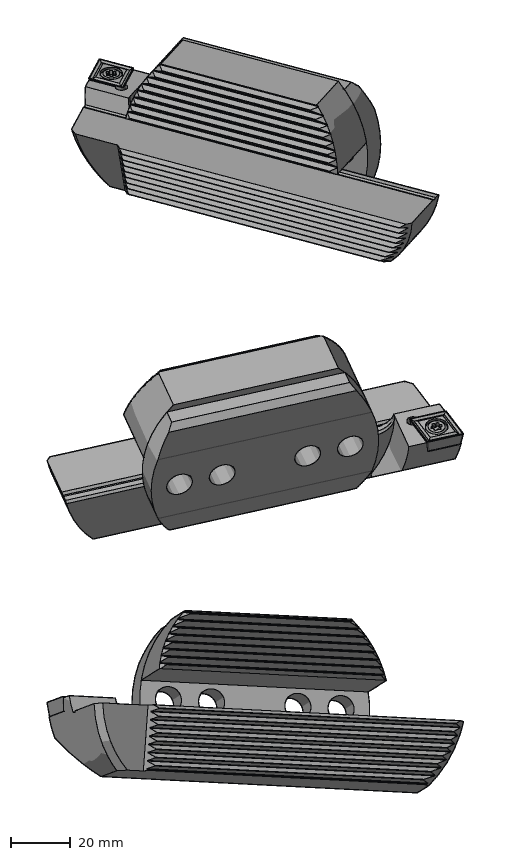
import cadquery as cq
import math


ROUND_RADIUS = 40.0
OVERALL_HEIGHT = 55.0
HALF_HEIGHT = OVERALL_HEIGHT / 2
HALF_GAP = 6.2
HOLE_DIAMETER = 9.0
OUTER_HOLE_SPACING = 60.0
HOLE_PITCH = OUTER_HOLE_SPACING / 4
PLATE_THICKNESS = 9.8
PLATE_HALF_HEIGHT = 24.9
PLATE_RIM_WIDTH = 5.1
PLATE_SLOPE_START_Y = 7.3
PLATE_SLOPE_START_Z = 22.6
PLATE_BACK_HALF_HEIGHT = 13.6

FACE_TILT = math.radians(15)
TOOTH_COUNT = 8
TOOTH_ANGLE = math.radians(60)
TOOTH_HEIGHT = 2.0
TIP_Y = -23.5
TOOTH_STEP_Z = (HALF_HEIGHT - HALF_GAP) / TOOTH_COUNT
FIRST_TIP_Z = HALF_GAP + TOOTH_STEP_Z / 2
JAW_END_CHAMFER = 1.9

HOLDER_RIGHT = 67.2
HOLDER_LEFT = -67.8
RIGHT_END_CHAMFER = 3.0
LEFT_END_CHAMFER = 2.0
RELIEF_Y = -20.9
RELIEF_END_X = -43.0
GROOVE_FRONT_Y = -4.8
GROOVE_BOTTOM_Y = -3.8
GROOVE_BOTTOM_Z = -6.7
LEDGE_FRONT_Y = -2.8
LEDGE_DROP = 0.2
LEDGE_Z = -HALF_GAP - LEDGE_DROP
LEDGE_CHAMFER = 0.8

HEAD_TOP = -0.47
HEAD_FRONT_Y = -1.1
HEAD_BACK_Y = 15.5
HEAD_CHAMFER_Y = 14.0
HEAD_CHAMFER_Z = -12.4
HEAD_RIGHT = -40.4
HEAD_TOP_RIGHT = -48.7
HEAD_CLEARANCE_RADIUS = 41.3
HEAD_FILLET = HEAD_TOP - LEDGE_Z

INSERT_CORNER_X = -68.0
INSERT_CORNER_Y = 15.9
INSERT_SIDE = 12.9
INSERT_LEAD = math.radians(10)
INSERT_THICKNESS = 5.0
INSERT_RELIEF_DEGREES = 7
INSERT_NOSE_RADIUS = 0.4
POCKET_OVERRUN = 2.0
LAND_WIDTH = 0.3
GROOVE_OFFSET = 1.15
PLATEAU_OFFSET = 2.0
CHIP_GROOVE_DEPTH = 0.47
CORNER_RELIEF_RADIUS = 2.0
CORNER_RELIEF_X = -53.8
CORNER_RELIEF_Y = 4.0
SCREW_HEAD_DIAMETER = 7.5
SCREW_HEAD_HEIGHT = 2.7
SCREW_HEAD_CHAMFER = 1.0
SHANK_DIAMETER = 5.0
SCREW_LENGTH = 11.5
STAR_RADIUS = 1.3
STAR_LOBE_RADIUS = 0.5
STAR_LOBES = 6
STAR_DEPTH = 1.6

CUT = 80.7


def tip_plane_y(z):
    """Y of the plane through the tooth tips at a distance z from the middle."""
    return TIP_Y + (z - FIRST_TIP_Z) * math.tan(FACE_TILT)


def along_x(points, x_start, x_end):
    """Prism along X with an outline of (y, z) points."""
    return cq.Workplane("YZ").workplane(offset=x_start).polyline(points).close().extrude(x_end - x_start)


def cylinder_along_y(radius, y_start, y_end):
    return cq.Workplane("XZ", origin=(0, y_start, 0)).circle(radius).extrude(y_start - y_end)


def serration_cutter():
    """V-shaped grooves, with flat bottoms, that leave the teeth of the upper jaw."""
    pitch = TOOTH_STEP_Z / math.cos(FACE_TILT)
    flank = TOOTH_HEIGHT * math.tan(TOOTH_ANGLE / 2)
    flat = pitch / 2 - flank
    half_mouth = (pitch - flat) / 2
    half_bottom = half_mouth - flank
    face = cq.Plane(
        origin=(-CUT, TIP_Y, FIRST_TIP_Z),
        xDir=(0, math.sin(FACE_TILT), math.cos(FACE_TILT)),
        normal=(1, 0, 0),
    )
    cutter = cq.Workplane(face)
    for i in range(TOOTH_COUNT + 1):
        middle = (i - 0.5) * pitch
        cutter = cutter.polyline(
            [
                (middle - half_mouth, 0),
                (middle + half_mouth, 0),
                (middle + half_bottom, -TOOTH_HEIGHT),
                (middle - half_bottom, -TOOTH_HEIGHT),
            ]
        ).close()
    return cutter.extrude(2 * CUT)


def make_plate():
    half_outline = [
        (0, PLATE_HALF_HEIGHT),
        (PLATE_RIM_WIDTH, PLATE_HALF_HEIGHT),
        (PLATE_SLOPE_START_Y, PLATE_SLOPE_START_Z),
        (PLATE_THICKNESS, PLATE_BACK_HALF_HEIGHT),
    ]
    outline = half_outline + [(y, -z) for y, z in reversed(half_outline)]
    plate = along_x(outline, -CUT, CUT).intersect(cylinder_along_y(ROUND_RADIUS, 0, PLATE_THICKNESS))
    holes = (
        cq.Workplane("XZ")
        .pushPoints([(i * HOLE_PITCH, 0) for i in (-2, -1, 1, 2)])
        .circle(HOLE_DIAMETER / 2)
        .extrude(-PLATE_THICKNESS)
    )
    return plate.cut(holes)


def make_jaw():
    outline = [
        (0, HALF_GAP),
        (tip_plane_y(HALF_GAP), HALF_GAP),
        (tip_plane_y(HALF_HEIGHT), HALF_HEIGHT),
        (0, HALF_HEIGHT),
    ]
    jaw = along_x(outline, -CUT, CUT).intersect(cylinder_along_y(ROUND_RADIUS, -CUT, 0))
    middle_z = (HALF_GAP + HALF_HEIGHT) / 2
    edge_x = math.sqrt(ROUND_RADIUS**2 - middle_z**2)
    for side in (-1, 1):
        end_edge = cq.selectors.NearestToPointSelector((side * edge_x, tip_plane_y(middle_z), middle_z))
        jaw = jaw.edges(end_edge).chamfer(JAW_END_CHAMFER)
    return jaw.cut(serration_cutter())


def oblique_prism(outline, direction):
    """Prism whose outline moves along a direction that need not be square to it."""
    return cq.Workplane(cq.Solid.extrudeLinear(outline.val(), [], cq.Vector(*direction)))


def rounded_end(end_x, side, y, direction):
    """Space bounded by an arc in XZ at one end; side is -1 for the left end, 1 for the right."""
    centre_x = end_x - side * ROUND_RADIUS
    far_x = centre_x - side * 2 * CUT
    outline = (
        cq.Workplane("XZ", origin=(0, y, 0))
        .moveTo(centre_x, -ROUND_RADIUS)
        .threePointArc((end_x, 0), (centre_x, ROUND_RADIUS))
        .lineTo(far_x, ROUND_RADIUS)
        .lineTo(far_x, -ROUND_RADIUS)
        .close()
    )
    return oblique_prism(outline, direction)


def holder_bar():
    bottom_back_y = HEAD_CHAMFER_Y - HEAD_CHAMFER_Z - HALF_HEIGHT
    return along_x(
        [
            (tip_plane_y(HALF_HEIGHT), -HALF_HEIGHT),
            (tip_plane_y(HALF_GAP), -HALF_GAP),
            (GROOVE_FRONT_Y, -HALF_GAP),
            (GROOVE_BOTTOM_Y, GROOVE_BOTTOM_Z),
            (LEDGE_FRONT_Y, LEDGE_Z),
            (-LEDGE_CHAMFER, LEDGE_Z),
            (0, LEDGE_Z - LEDGE_CHAMFER),
            (0, HEAD_CHAMFER_Z - HEAD_CHAMFER_Y),
            (bottom_back_y, -HALF_HEIGHT),
        ],
        -CUT,
        CUT,
    )


def fillet_outline(y, floor_z):
    """Open space between the head and the ledge in a plane at y; its round corner ends at floor_z."""
    round_end_x = HEAD_TOP_RIGHT + HEAD_FILLET
    middle_x = round_end_x - HEAD_FILLET * math.sqrt(0.5)
    middle_z = HEAD_TOP - (HEAD_TOP - floor_z) * math.sqrt(0.5)
    return (
        cq.Workplane("XZ", origin=(0, y, 0))
        .moveTo(HEAD_TOP_RIGHT, HEAD_TOP)
        .threePointArc((middle_x, middle_z), (round_end_x, floor_z))
        .lineTo(HEAD_RIGHT, floor_z)
        .lineTo(HEAD_RIGHT, HEAD_TOP)
        .close()
    )


def holder_head():
    head = along_x(
        [
            (HEAD_FRONT_Y, HEAD_TOP),
            (LEDGE_FRONT_Y, LEDGE_Z),
            (LEDGE_FRONT_Y, HEAD_CHAMFER_Z),
            (0, HEAD_CHAMFER_Z - HEAD_CHAMFER_Y),
            (HEAD_CHAMFER_Y, HEAD_CHAMFER_Z),
            (HEAD_BACK_Y, HEAD_TOP),
        ],
        -CUT,
        HEAD_RIGHT,
    )
    fillet_cut = fillet_outline(LEDGE_FRONT_Y, LEDGE_Z).extrude(LEDGE_FRONT_Y)
    edge_outlines = [
        fillet_outline(-LEDGE_CHAMFER, LEDGE_Z).val(),
        fillet_outline(0, LEDGE_Z - LEDGE_CHAMFER).val(),
    ]
    edge_cut = cq.Workplane(cq.Solid.makeLoft(edge_outlines, True))
    clearance = cylinder_along_y(HEAD_CLEARANCE_RADIUS, 0, CUT)
    clearance = clearance.translate((HEAD_TOP_RIGHT + HEAD_CLEARANCE_RADIUS, 0, 0))
    return head.cut(fillet_cut).cut(edge_cut).cut(clearance)


def front_relief():
    """Step that keeps the teeth clear of the left end, sloping like the serrated face."""
    outline = (
        cq.Workplane("XY", origin=(0, 0, -HALF_GAP))
        .moveTo(-CUT, RELIEF_Y)
        .lineTo(RELIEF_END_X, RELIEF_Y)
        .lineTo(RELIEF_END_X + CUT, RELIEF_Y - CUT)
        .lineTo(-CUT, RELIEF_Y - CUT)
        .close()
    )
    return oblique_prism(outline, (0, CUT * math.tan(FACE_TILT), -CUT))


def chamfer_end(holder, edge_x, edge_y, z, size):
    edge = cq.selectors.NearestToPointSelector((edge_x, edge_y, z))
    return holder.edges(edge).chamfer(size)


def make_holder():
    holder = holder_bar().union(holder_head())
    lead_shift = 2 * CUT * math.tan(INSERT_LEAD)
    holder = holder.intersect(rounded_end(HOLDER_LEFT, -1, INSERT_CORNER_Y, (lead_shift, -2 * CUT, 0)))
    holder = holder.intersect(rounded_end(HOLDER_RIGHT, 1, CUT, (0, -2 * CUT, 0)))
    holder = holder.cut(front_relief())

    middle_z = (HALF_GAP + HALF_HEIGHT) / 2
    end_setback = ROUND_RADIUS - math.sqrt(ROUND_RADIUS**2 - middle_z**2)
    relief_y = RELIEF_Y + (middle_z - HALF_GAP) * math.tan(FACE_TILT)
    left_x = HOLDER_LEFT + end_setback + (INSERT_CORNER_Y - relief_y) * math.tan(INSERT_LEAD)
    right_x = HOLDER_RIGHT - end_setback
    holder = chamfer_end(holder, right_x, tip_plane_y(middle_z), -middle_z, RIGHT_END_CHAMFER)
    holder = chamfer_end(holder, left_x, relief_y, -middle_z, LEFT_END_CHAMFER)
    holder = holder.cut(serration_cutter().mirror("XY"))

    corner_relief = (
        cq.Workplane("XY", origin=(CORNER_RELIEF_X, CORNER_RELIEF_Y, -INSERT_THICKNESS))
        .circle(CORNER_RELIEF_RADIUS)
        .extrude(INSERT_THICKNESS)
    )
    return holder.cut(corner_relief).cut(insert_pocket()).cut(screw_blank())


def insert_centre():
    half_width = INSERT_SIDE * (1 + math.sin(INSERT_LEAD)) / 2
    half_depth = INSERT_SIDE * math.cos(INSERT_LEAD) / 2
    return INSERT_CORNER_X + half_width, INSERT_CORNER_Y - half_depth


def insert_outline(offset, z):
    """Rhombus of the insert, moved inward by an offset, at a height z."""
    side = INSERT_SIDE - 2 * offset / math.cos(INSERT_LEAD)
    half_depth = side * math.cos(INSERT_LEAD) / 2
    lean = side * math.sin(INSERT_LEAD) / 2
    centre_x, centre_y = insert_centre()
    return (
        cq.Workplane("XY", origin=(centre_x, centre_y, z))
        .polyline(
            [
                (-side / 2 - lean, half_depth),
                (side / 2 - lean, half_depth),
                (side / 2 + lean, -half_depth),
                (-side / 2 + lean, -half_depth),
            ]
        )
        .close()
    )


def insert_frustum(top_offset, bottom_offset, depth):
    top = insert_outline(top_offset, 0).val()
    bottom = insert_outline(bottom_offset, -depth).val()
    return cq.Workplane(cq.Solid.makeLoft([top, bottom], True))


def insert_blank():
    bottom_offset = INSERT_THICKNESS * math.tan(math.radians(INSERT_RELIEF_DEGREES))
    blank = insert_frustum(0, bottom_offset, INSERT_THICKNESS)
    return blank.edges("not(#Z)").fillet(INSERT_NOSE_RADIUS)


def insert_pocket():
    """Room for the insert, open at the two sides where it overhangs the head."""
    pocket = insert_blank()
    back_shift = (-POCKET_OVERRUN * math.sin(INSERT_LEAD), POCKET_OVERRUN * math.cos(INSERT_LEAD), 0)
    for shift in ((-POCKET_OVERRUN, 0, 0), back_shift):
        pocket = pocket.union(insert_blank().translate(shift))
    return pocket


def make_insert():
    chip_groove = insert_frustum(LAND_WIDTH, GROOVE_OFFSET, CHIP_GROOVE_DEPTH)
    plateau = insert_frustum(PLATEAU_OFFSET, GROOVE_OFFSET, CHIP_GROOVE_DEPTH)
    return insert_blank().cut(chip_groove.cut(plateau)).cut(screw_blank())


def screw_blank():
    """Plain screw, which is also the shape of the hole it fills."""
    top = cq.Workplane("XY", origin=(*insert_centre(), 0))
    head = top.circle(SCREW_HEAD_DIAMETER / 2).extrude(-SCREW_HEAD_HEIGHT)
    shank = top.circle(SHANK_DIAMETER / 2).extrude(-SCREW_LENGTH)
    return head.union(shank)


def make_screw():
    screw = screw_blank().faces(">Z").edges().chamfer(SCREW_HEAD_CHAMFER)
    top = cq.Workplane("XY", origin=(*insert_centre(), 0))
    star = top.circle(STAR_RADIUS).extrude(-STAR_DEPTH)
    lobes = top.polarArray(STAR_RADIUS, 0, 360, STAR_LOBES).circle(STAR_LOBE_RADIUS).extrude(-STAR_DEPTH)
    return screw.cut(star).cut(lobes)


plate = make_plate()
jaw = make_jaw()
holder = make_holder()
insert = make_insert()
screw = make_screw()

result = cq.Compound.makeCompound([plate.val(), jaw.val(), holder.val(), insert.val(), screw.val()])